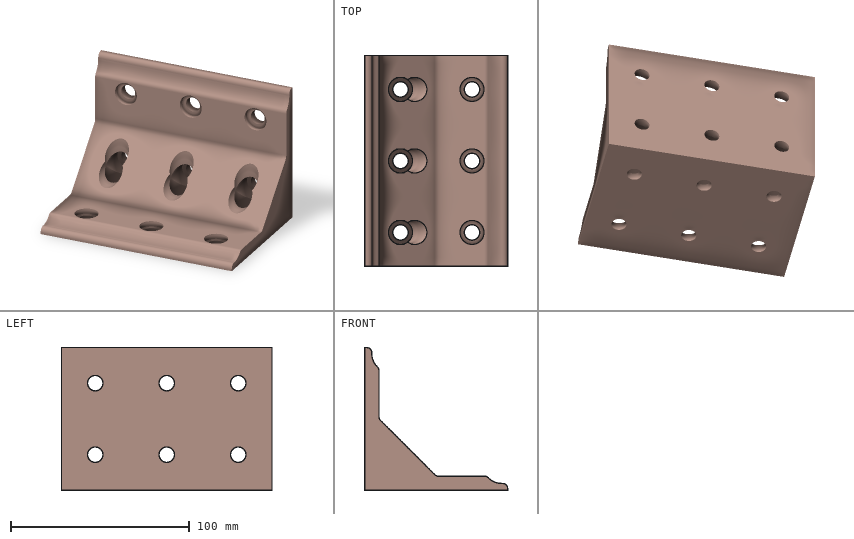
import cadquery as cq
import math

leg = 80.0
length = 118.0
thickness = 8.0
lip_thickness = 4.0
corner_radius = 3.0
cove_radius = 10.0
ogee_start = 67.0

hole_diameter = 8.5
bore_diameter = 13.5
bore_floor = 5.0
hole_pitch = leg / 2
hole_columns = 3
first_hole = leg / 4

step = thickness - lip_thickness
ogee_angle = math.acos(1 - step / (corner_radius + cove_radius))
cove_end = ogee_start + (corner_radius + cove_radius) * math.sin(ogee_angle)


def on_crest(angle):
    """Point on the crest arc, as (distance along leg, height above leg back)."""
    return (ogee_start + corner_radius * math.sin(angle),
            thickness - corner_radius * (1 - math.cos(angle)))


def on_cove(angle):
    """Point on the cove arc, in the same coordinates as the crest."""
    return (cove_end - cove_radius * math.sin(angle),
            lip_thickness + cove_radius * (1 - math.cos(angle)))


def on_gusset_blend(angle):
    """Point on the arc from the leg face (angle 0) to the 45 degree gusset face."""
    blend_start = leg / 2 + corner_radius * math.tan(math.pi / 8)
    return (blend_start - corner_radius * math.sin(angle),
            thickness + corner_radius * (1 - math.cos(angle)))


def on_end_round(angle):
    """Point on the rounded leg end, from the lip face (angle 0) to the end face."""
    return (leg - corner_radius * (1 - math.sin(angle)),
            lip_thickness - corner_radius * (1 - math.cos(angle)))


def swapped(point):
    """Mirror a profile point onto the other leg."""
    return point[1], point[0]


def make_angle():
    """Extruded gusseted angle, symmetric about its 45 degree line."""
    gusset_angle = math.pi / 4
    profile = (
        cq.Workplane("XZ")
        .moveTo(0, 0)
        .lineTo(leg, 0)
        .lineTo(*on_end_round(math.pi / 2))
        .threePointArc(on_end_round(math.pi / 4), on_end_round(0))
        .lineTo(*on_cove(0))
        .threePointArc(on_cove(ogee_angle / 2), on_cove(ogee_angle))
        .threePointArc(on_crest(ogee_angle / 2), on_crest(0))
        .lineTo(*on_gusset_blend(0))
        .threePointArc(on_gusset_blend(gusset_angle / 2), on_gusset_blend(gusset_angle))
        .lineTo(*swapped(on_gusset_blend(gusset_angle)))
        .threePointArc(swapped(on_gusset_blend(gusset_angle / 2)), swapped(on_gusset_blend(0)))
        .lineTo(*swapped(on_crest(0)))
        .threePointArc(swapped(on_crest(ogee_angle / 2)), swapped(on_crest(ogee_angle)))
        .threePointArc(swapped(on_cove(ogee_angle / 2)), swapped(on_cove(0)))
        .lineTo(*swapped(on_end_round(0)))
        .threePointArc(swapped(on_end_round(math.pi / 4)), swapped(on_end_round(math.pi / 2)))
        .lineTo(0, leg)
        .close()
    )
    return profile.extrude(length / 2, both=True)


def make_bolt_holes(plane, points):
    """Through holes from a leg back, widened above the counterbore floor."""
    back = cq.Workplane(plane)
    holes = back.pushPoints(points).circle(hole_diameter / 2).extrude(leg)
    bores = back.workplane(offset=bore_floor).pushPoints(points).circle(bore_diameter / 2).extrude(leg)
    return holes.union(bores)


leg_positions = [first_hole, first_hole + hole_pitch]
length_positions = [(i - (hole_columns - 1) / 2) * hole_pitch for i in range(hole_columns)]

floor_holes = make_bolt_holes("XY", [(x, y) for x in leg_positions for y in length_positions])
wall_holes = make_bolt_holes("YZ", [(y, z) for y in length_positions for z in leg_positions])

result = make_angle().cut(floor_holes).cut(wall_holes)